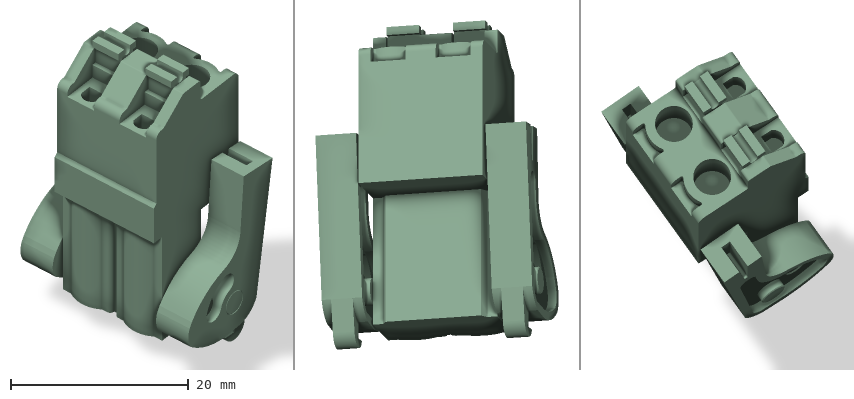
import cadquery as cq
import math


HOUSING_HALF_WIDTH = 7.2
HOUSING_DEPTH = 15.05
BAND_BOTTOM = 15.07
BAND_TOP = 20.1
BAND_STEP = 0.45
SHELF_Z = 30.65
CREST_Z = 33.52
BACK_UNDERSIDE_Z = 14.75
FRONT_ROUND = 0.9
BACK_ROUND = 0.98
SLOPE_FRONT_Y = 1.7
SLOPE_BACK_Y = 5.22
CREST_BACK_Y = 8.25
CREST_BLEND = 0.3

PLUG_FRONT_Y = 1.45
PLUG_BACK_Y = 8.35
REAR_PAD_THICKNESS = 0.83
REAR_PAD_TAPER = 0.53
POLE_X = 3.8
LOBE_HALF_WIDTH = 2.25
LOBE_RISE = 0.68
GROOVE_HALF_WIDTH = 0.23
GROOVE_EDGE_ROUND = 0.6

WIRE_HOLE_DIAMETER = 4.25
WIRE_HOLE_Y = 10.82
WIRE_HOLE_DEPTH = 4.5
SCOOP_WIDTH = 4.05
SCOOP_INNER_RADIUS = 3.25
SCOOP_FRONT_Y = 13.53
SCOOP_DEPTH = 1.88
SCOOP_CORNER_ROUND = 0.15
NOTCH_WIDTH = 3.87
NOTCH_FLOOR_Z = 29.35
LEDGE_FRONT_Y = 4.9
LEDGE_Z = 31.2
TEST_HOLE_WIDTH = 2.25
TEST_HOLE_RADIUS = 1.25
TEST_HOLE_CENTRE_Y = 2.48
TEST_HOLE_BACK_Y = 3.4
TEST_HOLE_DEPTH = 3.0

BUTTON_WIDTH = 3.75
BUTTON_Y = 6.45
STEM_LENGTH = 2.03
HEAD_LENGTH = 3.15
HEAD_BOTTOM = 33.75
HEAD_TOP = 34.7
DRIVER_SLOT_WIDTH = 1.0
DRIVER_SLOT_BOTTOM = 33.65

LEVER_THICKNESS = 4.7
LEVER_INNER_X = 7.5
LEVER_OUTER_X = LEVER_INNER_X + LEVER_THICKNESS
RECESS_DEPTH = 1.0
SPLIT_DEPTH = 3.55
HOOK_WIDTH = 2.5

PIVOT_Y = 8.2
PIVOT_Z = 3.9
PIVOT_DIAMETER = 3.1
PIVOT_CHAMFER = 0.1
GUIDE_DIAMETER = 2.63
GUIDE_RADIUS = 3.75
GUIDE_START_ANGLE = 166.0
GUIDE_END_ANGLE = 111.5
STUD_SETBACK = 0.2

SIDES = (-1, 1)


def box(x_min, x_max, y_min, y_max, z_min, z_max):
    """Axis-aligned block given by its limits."""
    block = cq.Workplane().box(x_max - x_min, y_max - y_min, z_max - z_min, centered=False)
    return block.translate((x_min, y_min, z_min))


def side_sketch(x):
    """Sketch plane at the given X, with local axes Y and Z."""
    return cq.Workplane("YZ", origin=(x, 0, 0))


def guide_point(angle, radius=GUIDE_RADIUS):
    """Point (Y, Z) on a circle about the pivot."""
    turn = math.radians(angle)
    return PIVOT_Y + radius * math.cos(turn), PIVOT_Z + radius * math.sin(turn)



def housing_blank():
    """Side outline of the housing, extruded across its width, with the crest edges blended."""
    front_y = BAND_STEP
    back_y = HOUSING_DEPTH
    blank = (
        side_sketch(-HOUSING_HALF_WIDTH)
        .moveTo(PLUG_FRONT_Y, 0)
        .lineTo(PLUG_FRONT_Y, BAND_BOTTOM)
        .lineTo(0, BAND_BOTTOM)
        .lineTo(0, BAND_TOP)
        .lineTo(front_y, BAND_TOP + BAND_STEP)
        .lineTo(front_y, SHELF_Z - FRONT_ROUND)
        .radiusArc((front_y + FRONT_ROUND, SHELF_Z), FRONT_ROUND)
        .lineTo(SLOPE_FRONT_Y, SHELF_Z)
        .lineTo(SLOPE_BACK_Y, CREST_Z)
        .lineTo(CREST_BACK_Y, CREST_Z)
        .lineTo(CREST_BACK_Y, SHELF_Z)
        .lineTo(back_y - BACK_ROUND, SHELF_Z)
        .radiusArc((back_y, SHELF_Z - BACK_ROUND), BACK_ROUND)
        .lineTo(back_y, BACK_UNDERSIDE_Z)
        .lineTo(PLUG_BACK_Y, BACK_UNDERSIDE_Z)
        .lineTo(PLUG_BACK_Y, 0)
        .close()
        .extrude(2 * HOUSING_HALF_WIDTH)
    )
    blended_edges = (
        (SLOPE_FRONT_Y, SHELF_Z),
        (SLOPE_BACK_Y, CREST_Z),
        (CREST_BACK_Y, CREST_Z),
        (CREST_BACK_Y, SHELF_Z),
    )
    for y, z in blended_edges:
        edge = cq.selectors.NearestToPointSelector((0, y, z))
        blank = blank.edges(edge).fillet(CREST_BLEND)
    return blank


def rear_pad():
    """Raised pad with tapered sides on the rear wall of the plug, as wide as the two front lobes."""
    root = POLE_X + LOBE_HALF_WIDTH
    crown = root - REAR_PAD_TAPER
    crown_y = PLUG_BACK_Y + REAR_PAD_THICKNESS
    outline = ((-root, PLUG_BACK_Y), (-crown, crown_y), (crown, crown_y), (root, PLUG_BACK_Y))
    return cq.Workplane().polyline(outline).close().extrude(BACK_UNDERSIDE_Z)


def plug_lobe(x):
    """Shallow round bulge on the front wall of the plug."""
    return (
        cq.Workplane()
        .moveTo(x - LOBE_HALF_WIDTH, PLUG_FRONT_Y)
        .threePointArc((x, PLUG_FRONT_Y - LOBE_RISE), (x + LOBE_HALF_WIDTH, PLUG_FRONT_Y))
        .close()
        .extrude(BAND_BOTTOM)
    )


def plug_groove():
    """Groove in the front wall between the two poles, flaring out with rounded edges."""
    mouth = GROOVE_HALF_WIDTH + GROOVE_EDGE_ROUND
    floor_y = PLUG_FRONT_Y + GROOVE_EDGE_ROUND
    bend = GROOVE_EDGE_ROUND * math.sqrt(0.5)
    bend_x = mouth - bend
    bend_y = floor_y - bend
    return (
        cq.Workplane()
        .moveTo(-mouth, PLUG_FRONT_Y)
        .threePointArc((-bend_x, bend_y), (-GROOVE_HALF_WIDTH, floor_y))
        .lineTo(GROOVE_HALF_WIDTH, floor_y)
        .threePointArc((bend_x, bend_y), (mouth, PLUG_FRONT_Y))
        .close()
        .extrude(BAND_BOTTOM)
    )


def wire_hole(x):
    """Blind round hole for the wire in the rear shelf."""
    hole = cq.Workplane().circle(WIRE_HOLE_DIAMETER / 2).extrude(WIRE_HOLE_DEPTH)
    return hole.translate((x, WIRE_HOLE_Y, SHELF_Z - WIRE_HOLE_DEPTH))


def rear_scoop(x):
    """Recess in the rear edge, its inner wall concentric with the wire hole."""
    floor_z = SHELF_Z - SCOOP_DEPTH
    half = SCOOP_WIDTH / 2
    pocket = box(x - half, x + half, SCOOP_FRONT_Y, HOUSING_DEPTH, floor_z, SHELF_Z)
    collar = cq.Workplane().circle(SCOOP_INNER_RADIUS).extrude(SCOOP_DEPTH)
    scoop = pocket.cut(collar.translate((x, WIRE_HOLE_Y, floor_z)))
    return scoop.edges("|Z and <Y").fillet(SCOOP_CORNER_ROUND)


def button_notch(x):
    """Stepped notch through the crest: a low floor in front and a ledge for the button behind."""
    half = NOTCH_WIDTH / 2
    front = box(x - half, x + half, 0, LEDGE_FRONT_Y, NOTCH_FLOOR_Z, CREST_Z)
    rear = box(x - half, x + half, LEDGE_FRONT_Y, CREST_BACK_Y, LEDGE_Z, CREST_Z)
    return front.union(rear)


def test_hole(x):
    """Blind hole in the notch floor, square at the back and round at the front."""
    half = TEST_HOLE_WIDTH / 2
    bottom_z = NOTCH_FLOOR_Z - TEST_HOLE_DEPTH
    round_end_y = TEST_HOLE_CENTRE_Y - math.sqrt(TEST_HOLE_RADIUS**2 - half**2)
    return (
        cq.Workplane(origin=(x, 0, bottom_z))
        .moveTo(-half, TEST_HOLE_BACK_Y)
        .lineTo(-half, round_end_y)
        .threePointArc((0, TEST_HOLE_CENTRE_Y - TEST_HOLE_RADIUS), (half, round_end_y))
        .lineTo(half, TEST_HOLE_BACK_Y)
        .close()
        .extrude(TEST_HOLE_DEPTH)
    )


def guide_stud(side):
    """Round stud on the housing side that runs in the lever's curved slot."""
    tip_x = LEVER_OUTER_X - RECESS_DEPTH - STUD_SETBACK
    stud = (
        side_sketch(HOUSING_HALF_WIDTH)
        .center(*guide_point(GUIDE_START_ANGLE))
        .circle(GUIDE_DIAMETER / 2)
        .extrude(tip_x - HOUSING_HALF_WIDTH)
    )
    return stud if side > 0 else stud.mirror("YZ")


def make_housing():
    body = housing_blank()
    body = body.union(rear_pad())
    body = body.cut(plug_groove())
    for side in SIDES:
        pole_x = side * POLE_X
        body = body.union(plug_lobe(pole_x))
        body = body.cut(wire_hole(pole_x))
        body = body.cut(rear_scoop(pole_x))
        body = body.cut(button_notch(pole_x))
        body = body.cut(test_hole(pole_x))
        body = body.union(guide_stud(side))
    return body



def make_button(side):
    """T-shaped button with a round-bottomed driver slot, resting against the outer wall of its notch."""
    outer_x = POLE_X + NOTCH_WIDTH / 2
    inner_x = outer_x - BUTTON_WIDTH
    stem_front = BUTTON_Y - STEM_LENGTH / 2
    head_front = BUTTON_Y - HEAD_LENGTH / 2
    slot_front = BUTTON_Y - DRIVER_SLOT_WIDTH / 2
    slot_round_z = DRIVER_SLOT_BOTTOM + DRIVER_SLOT_WIDTH / 2
    stem = box(inner_x, outer_x, stem_front, stem_front + STEM_LENGTH, LEDGE_Z, HEAD_BOTTOM)
    head = box(inner_x, outer_x, head_front, head_front + HEAD_LENGTH, HEAD_BOTTOM, HEAD_TOP)
    slot = (
        side_sketch(inner_x)
        .moveTo(slot_front, HEAD_TOP)
        .lineTo(slot_front, slot_round_z)
        .threePointArc((BUTTON_Y, DRIVER_SLOT_BOTTOM), (slot_front + DRIVER_SLOT_WIDTH, slot_round_z))
        .lineTo(slot_front + DRIVER_SLOT_WIDTH, HEAD_TOP)
        .close()
        .extrude(BUTTON_WIDTH)
    )
    button = stem.union(head).cut(slot)
    return button if side > 0 else button.mirror("YZ")



def lever_plate():
    """Full-thickness lever: a straight handle running into a rounded cam."""
    return (
        side_sketch(0)
        .moveTo(14.95, 20.65)
        .lineTo(9.85, 21.15)
        .lineTo(9.25, 13.38)
        .tangentArcPoint((6.35, 9.85), relative=False)
        .tangentArcPoint((0.65, 5.8), relative=False)
        .lineTo(0.25, 5.1)
        .threePointArc((0.05, 3.57), (0.53, 2.25))
        .threePointArc((3.5, 0.53), (6.9, -0.08))
        .lineTo(9.5, 0.08)
        .threePointArc((11.1, 0.85), (12.1, 2.2))
        .close()
        .extrude(LEVER_THICKNESS)
    )


def lever_recess():
    """Shallow recess in the -X face, leaving a rim all round."""
    return (
        side_sketch(0)
        .moveTo(12.78, 14.6)
        .threePointArc((11.7, 15.7), (10.55, 14.6))
        .lineTo(10.4, 13.38)
        .threePointArc((9.25, 10.55), (6.95, 9.0))
        .threePointArc((4.05, 7.93), (1.95, 5.95))
        .lineTo(1.25, 4.8)
        .threePointArc((0.95, 3.8), (1.58, 2.45))
        .threePointArc((3.95, 1.35), (6.6, 0.95))
        .lineTo(9.8, 1.0)
        .threePointArc((10.7, 1.65), (11.1, 2.63))
        .close()
        .extrude(RECESS_DEPTH)
    )


def lever_split():
    """Tapered slit in the end of the handle, open to the -X face."""
    return (
        side_sketch(0)
        .moveTo(13.0, 21.25)
        .lineTo(12.2, 17.05)
        .threePointArc((12.03, 16.87), (11.75, 17.05))
        .lineTo(11.75, 21.25)
        .close()
        .extrude(SPLIT_DEPTH)
    )


def lever_hook():
    """Latch hook below the cam, centred in the lever thickness."""
    return (
        side_sketch((LEVER_THICKNESS - HOOK_WIDTH) / 2)
        .moveTo(12.1, 2.2)
        .lineTo(11.27, -1.5)
        .threePointArc((9.6, -2.9), (8.05, -2.05))
        .lineTo(7.93, -1.7)
        .lineTo(9.5, -1.8)
        .lineTo(9.5, 0.75)
        .close()
        .extrude(HOOK_WIDTH)
    )


def guide_slot():
    """Slot curved about the pivot, with round ends, through the lever."""
    half = GUIDE_DIAMETER / 2
    mid_angle = (GUIDE_START_ANGLE + GUIDE_END_ANGLE) / 2
    inner = GUIDE_RADIUS - half
    outer = GUIDE_RADIUS + half
    slot = (
        side_sketch(0)
        .moveTo(*guide_point(GUIDE_START_ANGLE, inner))
        .threePointArc(guide_point(mid_angle, inner), guide_point(GUIDE_END_ANGLE, inner))
        .lineTo(*guide_point(GUIDE_END_ANGLE, outer))
        .threePointArc(guide_point(mid_angle, outer), guide_point(GUIDE_START_ANGLE, outer))
        .close()
        .extrude(LEVER_THICKNESS)
    )
    for angle in (GUIDE_START_ANGLE, GUIDE_END_ANGLE):
        end = side_sketch(0).center(*guide_point(angle)).circle(half).extrude(LEVER_THICKNESS)
        slot = slot.union(end)
    return slot


def make_lever(left_x):
    """Lever whose recessed face lies at left_x; both levers face the same way."""
    pivot_hole = side_sketch(0).center(PIVOT_Y, PIVOT_Z).circle(PIVOT_DIAMETER / 2).extrude(LEVER_THICKNESS)
    lever = lever_plate().union(lever_hook())
    lever = lever.cut(lever_recess()).cut(lever_split()).cut(guide_slot()).cut(pivot_hole)
    return lever.translate((left_x, 0, 0))



def make_pivot_pin(side):
    """Pin from the housing side to the outer face of the lever, chamfered at its outer end."""
    pin = (
        side_sketch(HOUSING_HALF_WIDTH)
        .center(PIVOT_Y, PIVOT_Z)
        .circle(PIVOT_DIAMETER / 2)
        .extrude(LEVER_OUTER_X - HOUSING_HALF_WIDTH)
        .faces(">X")
        .chamfer(PIVOT_CHAMFER)
    )
    return pin if side > 0 else pin.mirror("YZ")


housing = make_housing()
buttons = [make_button(side) for side in SIDES]
levers = [make_lever(left_x) for left_x in (-LEVER_OUTER_X, LEVER_INNER_X)]
pivot_pins = [make_pivot_pin(side) for side in SIDES]

bodies = [housing, *buttons, *levers, *pivot_pins]
result = cq.Compound.makeCompound([body.val() for body in bodies])